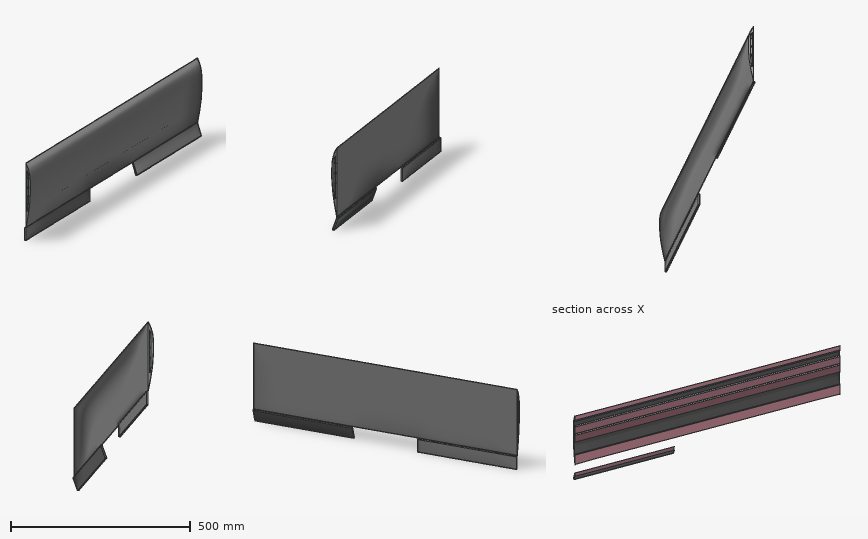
import cadquery as cq

LENGTH = 800.0
HEIGHT = 242.0
WIDTH = 21.0
BACK_X = -6.0
FRONT_X = WIDTH / 2
TOP_Z = HEIGHT / 2
BOTTOM_Z = -TOP_Z

FLAP_LENGTH = 300.0
FLAP_HEIGHT = 41.0
FLAP_THICKNESS = WIDTH / 2 + BACK_X
FLAP_CHAMFER = 2.0
FLAP_TILT = 20.0
BLADE_BOTTOM_Z = BOTTOM_Z + FLAP_HEIGHT

TRAILING_THICKNESS = 1.0
CREST_DROP = 69.0
SHOULDER_X = 6.0
SHOULDER_DROP = 28.0
LOWER_SKIN_X = 6.0
LOWER_SKIN_DROP = 136.0

BACK_WALL = 4.0
CAVITY_DEPTH = 5.0
CAVITY_TOP_DROP = 24.0
CAVITY_TOP_SLANT = 8.0
CAVITY_HEIGHT = 124.0
CAVITY_TAPER = 28.0
CAVITY_FOOT = 2.0
CAVITY_X = BACK_X + BACK_WALL
CAVITY_TOP_Z = TOP_Z - CAVITY_TOP_DROP
CAVITY_BOTTOM_Z = CAVITY_TOP_Z - CAVITY_HEIGHT

STRIP_HEIGHT = 26.0
STRIP_PITCH = 30.0
STRIP_COUNT = 2
FIRST_STRIP_DROP = 46.0


def extrude_along_y(profile, y_start, length):
    """Extrude a closed XZ profile toward +Y, starting at y_start."""
    return profile.extrude(-length).translate((0, y_start, 0))


def make_blade():
    outline = (
        cq.Workplane("XZ")
        .moveTo(BACK_X, BLADE_BOTTOM_Z)
        .lineTo(BACK_X, TOP_Z)
        .spline(
            [
                (SHOULDER_X, TOP_Z - SHOULDER_DROP),
                (FRONT_X, TOP_Z - CREST_DROP),
                (LOWER_SKIN_X, TOP_Z - LOWER_SKIN_DROP),
                (BACK_X + TRAILING_THICKNESS, BLADE_BOTTOM_Z),
            ],
            includeCurrent=True,
        )
        .close()
    )
    cavity_outline = (
        cq.Workplane("XZ")
        .moveTo(CAVITY_X, CAVITY_BOTTOM_Z)
        .lineTo(CAVITY_X, CAVITY_TOP_Z)
        .lineTo(CAVITY_X + CAVITY_DEPTH, CAVITY_TOP_Z - CAVITY_TOP_SLANT)
        .lineTo(CAVITY_X + CAVITY_DEPTH, CAVITY_BOTTOM_Z + CAVITY_TAPER)
        .lineTo(CAVITY_X + CAVITY_FOOT, CAVITY_BOTTOM_Z)
        .close()
    )
    blade_body = extrude_along_y(outline, -LENGTH / 2, LENGTH)
    cavity = extrude_along_y(cavity_outline, -LENGTH / 2, LENGTH)
    return blade_body.cut(cavity)


def make_strip(top_z):
    """Rectangular strip filling the cavity from its back wall to the skin."""
    return cq.Workplane("XY").box(CAVITY_DEPTH, LENGTH, STRIP_HEIGHT, centered=False).translate(
        (CAVITY_X, -LENGTH / 2, top_z - STRIP_HEIGHT)
    )


def make_flap(y_start, tilt):
    """Flap turned about its top edge, which meets the blade's lower back edge."""
    outline = (
        cq.Workplane("XZ")
        .moveTo(BACK_X, BLADE_BOTTOM_Z)
        .lineTo(BACK_X, BOTTOM_Z)
        .lineTo(BACK_X - FLAP_THICKNESS, BOTTOM_Z)
        .lineTo(BACK_X - FLAP_THICKNESS, BLADE_BOTTOM_Z - FLAP_CHAMFER)
        .lineTo(BACK_X - FLAP_THICKNESS + FLAP_CHAMFER, BLADE_BOTTOM_Z)
        .close()
    )
    hinge_start = (BACK_X, 0, BLADE_BOTTOM_Z)
    hinge_end = (BACK_X, -1, BLADE_BOTTOM_Z)
    return extrude_along_y(outline, y_start, FLAP_LENGTH).rotate(hinge_start, hinge_end, tilt)


blade = make_blade()
strips = [make_strip(TOP_Z - FIRST_STRIP_DROP - i * STRIP_PITCH) for i in range(STRIP_COUNT)]
flap_placements = [(-LENGTH / 2, 0), (LENGTH / 2 - FLAP_LENGTH, FLAP_TILT)]
flaps = [make_flap(y_start, tilt) for y_start, tilt in flap_placements]

result = cq.Compound.makeCompound(
    [blade.val(), *[strip.val() for strip in strips], *[flap.val() for flap in flaps]]
)